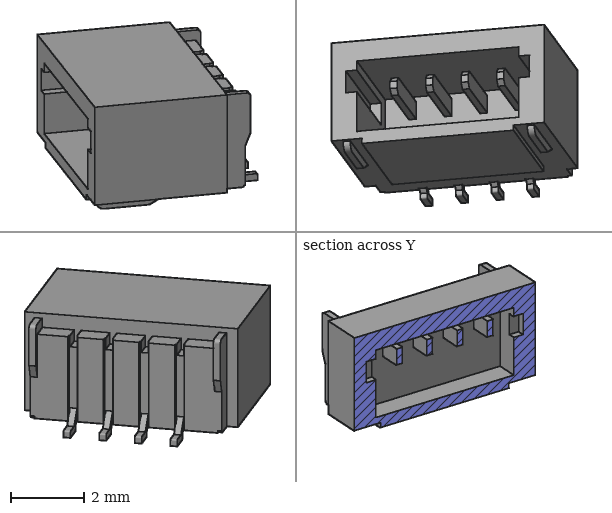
import cadquery as cq


WIDTH = 6.0
TOTAL_DEPTH = 5.0
TOTAL_HEIGHT = 3.1

BODY_DEPTH = 3.75
BODY_HEIGHT = 2.85
SEAT_Z = BODY_HEIGHT - TOTAL_HEIGHT

SIDE_WALL = 0.72
CAVITY_FLOOR_Z = 0.215
CAVITY_TOP_Z = 2.26
CAVITY_WIDTH = WIDTH - 2 * SIDE_WALL
BACK_WALL = 0.6
CAVITY_DEPTH = BODY_DEPTH - BACK_WALL
KEYWAY_DEPTH = 0.305
KEYWAY_LENGTH = 2.7
KEYWAY_FLOOR_Z = 1.37
KEYWAY_HEIGHT = 0.63

PAD_WIDTH = 4.27
PAD_LENGTH = 3.36
PAD_DROP = 0.15

BLOCK_REAR_Y = 4.35
BLOCK_TOP_Z = 2.44
BLOCK_WIDTH = 5.16
MOUTH_WIDTH = 0.27
MOUTH_INNER_WIDTH = 0.24

LEAD_COUNT = 4
PITCH = 1.0
LEAD_WIDTH = 0.2
CONTACT_TIP_Y = 1.02
CONTACT_TOP_Z = 2.12
CONTACT_HEIGHT = 0.505
CONTACT_CHAMFER = 0.15
LEG_REAR_Y = 4.24
LEG_THICKNESS = 0.2
FOOT_THICKNESS = 0.2
FOOT_BEND_Y = 4.585
FOOT_HEEL_Y = 4.385
SLOPE_RISE = 0.41
FOOT_ROUND = 0.05
HEEL_RISE = 0.155

PLATE_WIDTH = 0.2
PLATE_INSET = 0.305
PLATE_X = WIDTH / 2 - PLATE_INSET - PLATE_WIDTH / 2
PLATE_TOP_Z = 2.735
PLATE_REAR_Y = 4.5
PLATE_STEP_TOP_Z = 1.57
PLATE_STEP_BOTTOM_Z = 1.2
PLATE_ROUND = 0.11
PLATE_BOTTOM_CHAMFER = 0.07
KEEL_FRONT_Y = 0.125
KEEL_ROUND = 0.23
KEEL_FLAT_END_Y = 1.625
KEEL_RAMP_END_Y = 2.125


def box(width, y_start, y_end, z_start, z_end):
    """Box centred on X = 0 between the given Y and Z limits."""
    size = (width, y_end - y_start, z_end - z_start)
    return cq.Workplane("XY").box(*size, centered=(True, False, False)).translate((0, y_start, z_start))


def plate_from(outline, thickness, x):
    """Plate of the given YZ outline, centred on X = x."""
    return outline.close().extrude(thickness / 2, both=True).translate((x, 0, 0))


def make_housing():
    housing = box(WIDTH, 0, BODY_DEPTH, 0, BODY_HEIGHT)
    pad = box(PAD_WIDTH, 0, PAD_LENGTH, -PAD_DROP, 0)
    cavity = box(CAVITY_WIDTH, 0, CAVITY_DEPTH, CAVITY_FLOOR_Z, CAVITY_TOP_Z)
    keyways = box(
        CAVITY_WIDTH + 2 * KEYWAY_DEPTH, 0, KEYWAY_LENGTH, KEYWAY_FLOOR_Z, KEYWAY_FLOOR_Z + KEYWAY_HEIGHT
    )
    return housing.union(pad).cut(cavity).cut(keyways)


def make_lead_slot(x):
    """Slot above the lead, and a tapered mouth through the block behind its leg."""
    slot = box(LEAD_WIDTH, BODY_DEPTH, BLOCK_REAR_Y, CONTACT_TOP_Z, BLOCK_TOP_Z)
    mouth = (
        cq.Workplane("XY")
        .moveTo(-MOUTH_WIDTH / 2, BLOCK_REAR_Y)
        .lineTo(-MOUTH_INNER_WIDTH / 2, LEG_REAR_Y)
        .lineTo(MOUTH_INNER_WIDTH / 2, LEG_REAR_Y)
        .lineTo(MOUTH_WIDTH / 2, BLOCK_REAR_Y)
        .close()
        .extrude(BLOCK_TOP_Z)
    )
    return slot.union(mouth).translate((x, 0, 0))


def make_lead(x):
    """Contact bar through the back wall, leg down the block and a sloped solder foot."""
    contact_bottom_z = CONTACT_TOP_Z - CONTACT_HEIGHT
    foot_top_z = SEAT_Z + FOOT_THICKNESS
    leg_front_y = LEG_REAR_Y - LEG_THICKNESS
    slope = SLOPE_RISE / (FOOT_BEND_Y - LEG_REAR_Y)
    heel_top_z = SEAT_Z + HEEL_RISE
    leg_bottom_z = heel_top_z + slope * (FOOT_HEEL_Y - leg_front_y)
    outline = (
        cq.Workplane("YZ")
        .moveTo(CONTACT_TIP_Y, contact_bottom_z + CONTACT_CHAMFER)
        .lineTo(CONTACT_TIP_Y, CONTACT_TOP_Z - CONTACT_CHAMFER)
        .lineTo(CONTACT_TIP_Y + CONTACT_CHAMFER, CONTACT_TOP_Z)
        .lineTo(LEG_REAR_Y, CONTACT_TOP_Z)
        .lineTo(LEG_REAR_Y, foot_top_z + SLOPE_RISE)
        .lineTo(FOOT_BEND_Y, foot_top_z)
        .lineTo(TOTAL_DEPTH - FOOT_ROUND, foot_top_z)
        .radiusArc((TOTAL_DEPTH, foot_top_z - FOOT_ROUND), FOOT_ROUND)
        .lineTo(TOTAL_DEPTH, SEAT_Z)
        .lineTo(FOOT_HEEL_Y + FOOT_ROUND, SEAT_Z)
        .radiusArc((FOOT_HEEL_Y, SEAT_Z + FOOT_ROUND), FOOT_ROUND)
        .lineTo(FOOT_HEEL_Y, heel_top_z)
        .lineTo(leg_front_y, leg_bottom_z)
        .lineTo(leg_front_y, contact_bottom_z)
        .lineTo(CONTACT_TIP_Y + CONTACT_CHAMFER, contact_bottom_z)
    )
    return plate_from(outline, LEAD_WIDTH, x)


def make_hold_down(x):
    """Stepped side tab behind the housing."""
    outline = (
        cq.Workplane("YZ")
        .moveTo(BODY_DEPTH, 0)
        .lineTo(BODY_DEPTH, PLATE_TOP_Z - PLATE_ROUND)
        .radiusArc((BODY_DEPTH + PLATE_ROUND, PLATE_TOP_Z), PLATE_ROUND)
        .lineTo(PLATE_REAR_Y - PLATE_ROUND, PLATE_TOP_Z)
        .radiusArc((PLATE_REAR_Y, PLATE_TOP_Z - PLATE_ROUND), PLATE_ROUND)
        .lineTo(PLATE_REAR_Y, PLATE_STEP_TOP_Z)
        .lineTo(BLOCK_REAR_Y, PLATE_STEP_BOTTOM_Z)
        .lineTo(BLOCK_REAR_Y, PLATE_BOTTOM_CHAMFER)
        .lineTo(BLOCK_REAR_Y - PLATE_BOTTOM_CHAMFER, 0)
    )
    return plate_from(outline, PLATE_WIDTH, x)


def make_keel(x):
    """Solder keel under the housing, in line with the hold-down tab."""
    outline = (
        cq.Workplane("YZ")
        .moveTo(KEEL_FRONT_Y, 0)
        .lineTo(KEEL_RAMP_END_Y, 0)
        .lineTo(KEEL_FLAT_END_Y, SEAT_Z)
        .lineTo(KEEL_FRONT_Y + KEEL_ROUND, SEAT_Z)
        .radiusArc((KEEL_FRONT_Y, SEAT_Z + KEEL_ROUND), KEEL_ROUND)
    )
    return plate_from(outline, PLATE_WIDTH, x)


result = make_housing().union(box(BLOCK_WIDTH, BODY_DEPTH, BLOCK_REAR_Y, 0, BLOCK_TOP_Z))

for index in range(LEAD_COUNT):
    lead_x = (index - (LEAD_COUNT - 1) / 2) * PITCH
    result = result.cut(make_lead_slot(lead_x)).union(make_lead(lead_x))

for side in (-1, 1):
    result = result.union(make_hold_down(side * PLATE_X)).union(make_keel(side * PLATE_X))